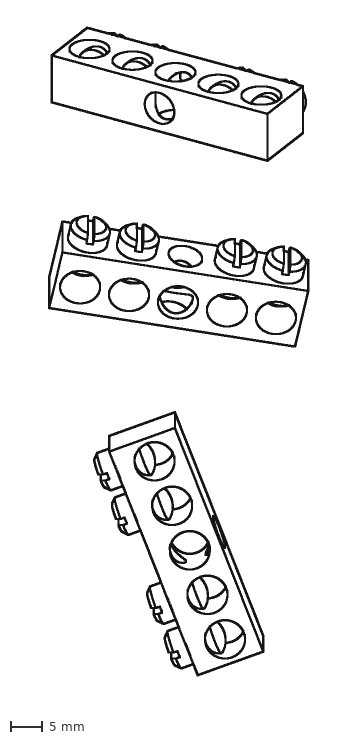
import cadquery as cq

block_length = 39.88
block_depth = 11.15
block_height = 8.4
mid_height = block_height / 2

wire_hole_diameter = 6.4
wire_hole_count = 5
wire_hole_pitch = 7.95
wire_hole_y = 5.0
middle_hole = wire_hole_count // 2

mounting_hole_diameter = 5.45

screw_radius = wire_hole_diameter / 2
screw_protrusion = 3.2
screw_insertion = 4.43
screw_tip_height = 1.6
screw_chamfer = 0.8
slot_width = 1.08
slot_depth = 1.48

head_y = block_depth + screw_protrusion
dome_base_y = block_depth - screw_insertion
dome_tip_y = dome_base_y - screw_tip_height

wire_hole_xs = [(i - middle_hole) * wire_hole_pitch for i in range(wire_hole_count)]
screw_xs = [x for i, x in enumerate(wire_hole_xs) if i != middle_hole]


def screw_blank(x):
    """Chamfered cylinder along Y with a spherical inner end, before slotting."""
    dome_radius = (screw_radius**2 + screw_tip_height**2) / (2 * screw_tip_height)
    dome_center_y = dome_tip_y + dome_radius
    arc_y = dome_tip_y + screw_tip_height / 2
    arc_x = (dome_radius**2 - (dome_center_y - arc_y) ** 2) ** 0.5
    profile = (
        cq.Workplane("XY")
        .moveTo(0, dome_tip_y)
        .threePointArc((arc_x, arc_y), (screw_radius, dome_base_y))
        .lineTo(screw_radius, head_y - screw_chamfer)
        .lineTo(screw_radius - screw_chamfer, head_y)
        .lineTo(0, head_y)
        .close()
    )
    blank = profile.revolve(360, (0, 0, 0), (0, 1, 0))
    return blank.translate((x, 0, mid_height))


def make_screw(x):
    """Clamping screw with a vertical driver slot across its head."""
    slot = cq.Workplane("XY").box(slot_width, slot_depth, 2 * screw_radius, centered=(True, False, True))
    return screw_blank(x).cut(slot.translate((x, head_y - slot_depth, mid_height)))


def make_block():
    """Rectangular block with wire holes, a mounting hole and fitted screw sockets."""
    block = cq.Workplane("XY").box(block_length, block_depth, block_height, centered=(True, False, False))

    wire_holes = (
        cq.Workplane("XY")
        .pushPoints([(x, wire_hole_y) for x in wire_hole_xs])
        .circle(wire_hole_diameter / 2)
        .extrude(block_height)
    )
    block = block.cut(wire_holes)

    mounting_hole = (
        cq.Workplane("XZ", origin=(0, 0, mid_height))
        .circle(mounting_hole_diameter / 2)
        .extrude(-block_depth)
    )
    block = block.cut(mounting_hole)

    for x in screw_xs:
        block = block.cut(screw_blank(x))
    return block


terminal_block = make_block()
screws = [make_screw(x) for x in screw_xs]

result = cq.Compound.makeCompound([terminal_block.val(), *[screw.val() for screw in screws]])